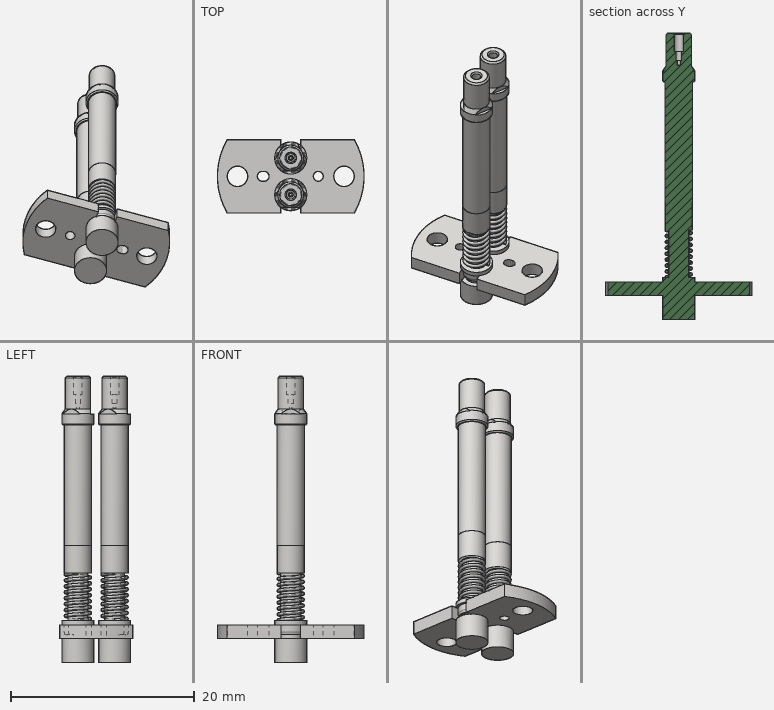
import cadquery as cq
import math

PLATE_DIAMETER = 16.0
PLATE_WIDTH = 8.0
PLATE_THICKNESS = 1.5
NOTCH_WIDTH = 2.15

MOUNTING_HOLE_DIAMETER = 2.2
MOUNTING_HOLE_OFFSET = 5.8
LOCATING_HOLE_DIAMETER = 1.05
LOCATING_HOLE_OFFSET = 3.0
LOCATING_SLOT_LENGTH = 1.25

PROBE_SPACING = 4.0

FOOT_HEIGHT = 2.6
NECK_HEIGHT = 0.45
SHANK_TAPER_HEIGHT = 0.3
FLANGE_THICKNESS = 0.5
SPRING_LENGTH = 5.15
SLEEVE_LENGTH = 3.0
BARREL_LENGTH = 13.1
COLLAR_CHAMFER = 0.15
COLLAR_BAND_TOP = 27.1
COLLAR_TOP = 27.6
PROBE_HEIGHT = 31.2

PLATE_BOTTOM = FOOT_HEIGHT
PLATE_TOP = PLATE_BOTTOM + PLATE_THICKNESS
NECK_TOP = FOOT_HEIGHT + NECK_HEIGHT
SHANK_TAPER_TOP = NECK_TOP + SHANK_TAPER_HEIGHT
FLANGE_TOP = PLATE_TOP + FLANGE_THICKNESS
SPRING_TOP = FLANGE_TOP + SPRING_LENGTH
SLEEVE_TOP = SPRING_TOP + SLEEVE_LENGTH
COLLAR_BOTTOM = SLEEVE_TOP + BARREL_LENGTH

FOOT_RADIUS = 1.75
FLANGE_RADIUS = 1.75
SHANK_RADIUS = 1.5
SHANK_END_RADIUS = 1.42
NECK_RADIUS = 1.17
CORE_RADIUS = 1.1
SLEEVE_RADIUS = 1.49
BARREL_RADIUS = 1.5
COLLAR_RADIUS = 1.75
TIP_RADIUS = 1.4
TIP_CHAMFER = 0.2

FLAT_DISTANCE = TIP_RADIUS
FLAT_BOTTOM = 27.05
FLAT_ANGLES = (30, 150, 270)

WIRE_RADIUS = 0.18
COIL_RADIUS = SLEEVE_RADIUS - WIRE_RADIUS
COIL_TURNS = 8

BORE_DIAMETER = 0.95
BORE_DEPTH = 2.0
BORE_CHAMFER = 0.15
INNER_BORE_DIAMETER = 0.55
INNER_BORE_DEPTH = 1.0
PILOT_DIAMETER = 0.3
PILOT_DEPTH = 0.5


def plate():
    """Round-ended plate with mounting holes, a locating hole and slot, and two edge notches."""
    disc = cq.Workplane("XY").circle(PLATE_DIAMETER / 2).extrude(PLATE_THICKNESS)
    band = cq.Workplane("XY").rect(PLATE_DIAMETER, PLATE_WIDTH).extrude(PLATE_THICKNESS)
    mounting_holes = (
        cq.Workplane("XY")
        .pushPoints([(-MOUNTING_HOLE_OFFSET, 0), (MOUNTING_HOLE_OFFSET, 0)])
        .circle(MOUNTING_HOLE_DIAMETER / 2)
        .extrude(PLATE_THICKNESS)
    )
    locating_hole = (
        cq.Workplane("XY")
        .center(LOCATING_HOLE_OFFSET, 0)
        .circle(LOCATING_HOLE_DIAMETER / 2)
        .extrude(PLATE_THICKNESS)
    )
    locating_slot = (
        cq.Workplane("XY")
        .center(-LOCATING_HOLE_OFFSET, 0)
        .slot2D(LOCATING_SLOT_LENGTH, LOCATING_HOLE_DIAMETER)
        .extrude(PLATE_THICKNESS)
    )
    notch_depth = (PLATE_WIDTH - PROBE_SPACING) / 2
    notch_center = (PLATE_WIDTH - notch_depth) / 2
    notches = (
        cq.Workplane("XY")
        .pushPoints([(0, -notch_center), (0, notch_center)])
        .rect(NOTCH_WIDTH, notch_depth)
        .extrude(PLATE_THICKNESS)
    )
    body = disc.intersect(band)
    for opening in (mounting_holes, locating_hole, locating_slot, notches):
        body = body.cut(opening)
    return body.translate((0, 0, PLATE_BOTTOM))


def turned_body():
    """Outside of the probe as one revolved profile, from the foot up to the tip."""
    profile = [
        (0, 0),
        (FOOT_RADIUS, 0),
        (FOOT_RADIUS, FOOT_HEIGHT),
        (NECK_RADIUS, FOOT_HEIGHT),
        (NECK_RADIUS, NECK_TOP),
        (SHANK_END_RADIUS, NECK_TOP),
        (SHANK_RADIUS, SHANK_TAPER_TOP),
        (SHANK_RADIUS, PLATE_TOP),
        (FLANGE_RADIUS, PLATE_TOP),
        (FLANGE_RADIUS, FLANGE_TOP),
        (CORE_RADIUS, FLANGE_TOP),
        (CORE_RADIUS, SPRING_TOP),
        (SLEEVE_RADIUS, SPRING_TOP),
        (SLEEVE_RADIUS, SLEEVE_TOP),
        (BARREL_RADIUS, SLEEVE_TOP),
        (BARREL_RADIUS, COLLAR_BOTTOM),
        (COLLAR_RADIUS - COLLAR_CHAMFER, COLLAR_BOTTOM),
        (COLLAR_RADIUS, COLLAR_BOTTOM + COLLAR_CHAMFER),
        (COLLAR_RADIUS, COLLAR_BAND_TOP),
        (TIP_RADIUS, COLLAR_TOP),
        (TIP_RADIUS, PROBE_HEIGHT - TIP_CHAMFER),
        (TIP_RADIUS - TIP_CHAMFER, PROBE_HEIGHT),
        (0, PROBE_HEIGHT),
    ]
    return cq.Workplane("XZ").polyline(profile).close().revolve(360, (0, 0, 0), (0, 1, 0))


def collar_flats():
    """Blocks that cut three flats, 120 degrees apart, into the top of the collar."""
    height = COLLAR_TOP - FLAT_BOTTOM
    block = (
        cq.Workplane("XY")
        .box(COLLAR_RADIUS, 2 * COLLAR_RADIUS, height, centered=(False, True, False))
        .translate((FLAT_DISTANCE, 0, FLAT_BOTTOM))
    )
    flats = cq.Workplane("XY")
    for angle in FLAT_ANGLES:
        flats = flats.add(block.rotate((0, 0, 0), (0, 0, 1), angle))
    return flats.combine()


def tip_bore():
    """Chamfered bore with two smaller steps below it."""
    bore_bottom = PROBE_HEIGHT - BORE_DEPTH
    inner_bottom = bore_bottom - INNER_BORE_DEPTH
    pilot_bottom = inner_bottom - PILOT_DEPTH
    bore_radius = BORE_DIAMETER / 2
    inner_radius = INNER_BORE_DIAMETER / 2
    pilot_radius = PILOT_DIAMETER / 2
    profile = [
        (0, pilot_bottom),
        (pilot_radius, pilot_bottom),
        (pilot_radius, inner_bottom),
        (inner_radius, inner_bottom),
        (inner_radius, bore_bottom),
        (bore_radius, bore_bottom),
        (bore_radius, PROBE_HEIGHT - BORE_CHAMFER),
        (bore_radius + BORE_CHAMFER, PROBE_HEIGHT),
        (0, PROBE_HEIGHT),
    ]
    return cq.Workplane("XZ").polyline(profile).close().revolve(360, (0, 0, 0), (0, 1, 0))


def spring():
    """Right-handed coil that starts on the -X side and fills the gap between flange and sleeve."""
    pitch = SPRING_LENGTH / COIL_TURNS
    helix = cq.Wire.makeHelix(pitch, SPRING_LENGTH, COIL_RADIUS)
    wire_direction = (0, 2 * math.pi * COIL_RADIUS, pitch)
    wire_section = cq.Plane(origin=(COIL_RADIUS, 0, 0), xDir=(1, 0, 0), normal=wire_direction)
    coil = cq.Workplane(wire_section).circle(WIRE_RADIUS).sweep(cq.Workplane(helix), isFrenet=True)
    return coil.rotate((0, 0, 0), (0, 0, 1), 180).translate((0, 0, FLANGE_TOP))


def probe():
    """Complete spring probe standing on the Z axis."""
    return turned_body().cut(collar_flats()).cut(tip_bore()).union(spring())


result = plate()
single_probe = probe()
for y in (-PROBE_SPACING / 2, PROBE_SPACING / 2):
    result = result.union(single_probe.translate((0, y, 0)))